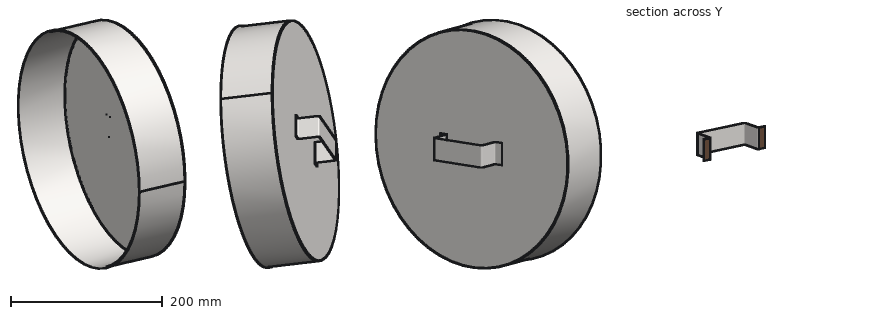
import cadquery as cq
import math

SHEET = 1.0

BEND_INNER_RADIUS = SHEET
BEND_OUTER_RADIUS = BEND_INNER_RADIUS + SHEET

LIP_DIAMETER = 322.2
DRUM_DIAMETER = LIP_DIAMETER - 2 * BEND_INNER_RADIUS
DRUM_BORE = DRUM_DIAMETER - 2 * SHEET

SEAM_GAP = 0.1

DISC_DIAMETER = 318.5
DISC_DEPTH = 1.5
DRUM_DEPTH = 71.5
WALL_DEPTH = DRUM_DEPTH - DISC_DEPTH

OVERALL_DEPTH = 101.5
BRACKET_WIDTH = 80.5
BRACKET_SPAN = 102.5
BRACKET_HEIGHT = 30.0


def make_drum_wall():
    """Thin tube whose open end curls outward, split along its length by the seam."""
    bore_radius = DRUM_BORE / 2
    outer_radius = DRUM_DIAMETER / 2
    lip_radius = LIP_DIAMETER / 2
    bend_y = BEND_OUTER_RADIUS
    diagonal = math.sqrt(0.5)
    inner_mid = (lip_radius - BEND_INNER_RADIUS * diagonal, bend_y - BEND_INNER_RADIUS * diagonal)
    outer_mid = (lip_radius - BEND_OUTER_RADIUS * diagonal, bend_y - BEND_OUTER_RADIUS * diagonal)
    closed_wall = (
        cq.Workplane("XY")
        .moveTo(bore_radius, WALL_DEPTH)
        .lineTo(bore_radius, bend_y)
        .threePointArc(outer_mid, (lip_radius, 0))
        .lineTo(lip_radius, SHEET)
        .threePointArc(inner_mid, (outer_radius, bend_y))
        .lineTo(outer_radius, WALL_DEPTH)
        .close()
        .revolve(360, (0, 0, 0), (0, 1, 0))
    )
    seam = cq.Workplane("XY").box(lip_radius, DRUM_DEPTH, SEAM_GAP, centered=(False, False, True))
    return closed_wall.cut(seam)


def make_back_disc():
    """Flat disc closing the back of the drum."""
    back_plane = cq.Plane(origin=(0, WALL_DEPTH, 0), xDir=(1, 0, 0), normal=(0, 1, 0))
    return cq.Workplane(back_plane).circle(DISC_DIAMETER / 2).extrude(DISC_DEPTH)


def round_bend(body, x, y, radius):
    """Round the pair of mirrored edges along Z at (x, y) and (-x, y)."""
    points = [(x, y, 0), (-x, y, 0)]
    for point in points:
        body = body.edges(cq.NearestToPointSelector(point)).fillet(radius)
    return body


def make_bracket():
    """Bent strip with two feet on the disc, two legs and a bridge between them."""
    foot_x = BRACKET_SPAN / 2
    leg_outer_x = BRACKET_WIDTH / 2
    leg_inner_x = leg_outer_x - SHEET
    foot_back = DRUM_DEPTH + SHEET
    bridge_front = OVERALL_DEPTH - SHEET

    right_side = [
        (leg_inner_x, bridge_front),
        (leg_inner_x, DRUM_DEPTH),
        (foot_x, DRUM_DEPTH),
        (foot_x, foot_back),
        (leg_outer_x, foot_back),
        (leg_outer_x, OVERALL_DEPTH),
    ]
    left_side = [(-x, y) for x, y in reversed(right_side)]
    strip = (
        cq.Workplane("XY")
        .polyline(right_side + left_side)
        .close()
        .extrude(BRACKET_HEIGHT / 2, both=True)
    )

    strip = round_bend(strip, leg_outer_x, OVERALL_DEPTH, BEND_OUTER_RADIUS)
    strip = round_bend(strip, leg_inner_x, bridge_front, BEND_INNER_RADIUS)
    strip = round_bend(strip, leg_inner_x, DRUM_DEPTH, BEND_OUTER_RADIUS)
    return round_bend(strip, leg_outer_x, foot_back, BEND_INNER_RADIUS)


drum_wall = make_drum_wall()
back_disc = make_back_disc()
bracket = make_bracket()

result = cq.Compound.makeCompound([drum_wall.val(), back_disc.val(), bracket.val()])